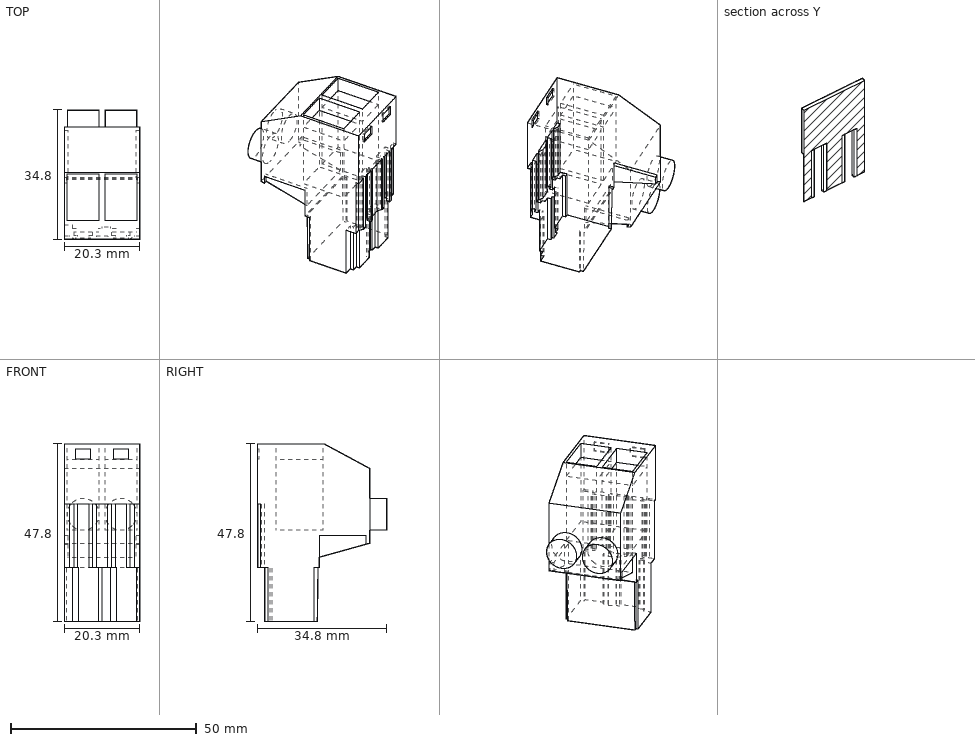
import cadquery as cq


width = 20.3
height = 47.8
poles = 2
pole_pitch = width / poles
pole_centers = [(i + 0.5) * pole_pitch for i in range(poles)]

body_depth = 30.25
roof_depth = 18.0
shoulder_z = 41.2
back_bottom_z = 21.1
neck_depth = 16.7
neck_slope_z = 17.3
plug_top_z = 14.55

side_recess_inset = 1.05
side_recess_top_z = 23.2
back_tab_y = 29.25

channel_top_z = 31.7
slot_half_width = 1.55
lip_half_width = 2.5
bevel_half_width = 3.65
bevel_low_y = 0.2
bevel_deep_y = 0.9
lip_thickness = 1.05
plug_face_y = 1.95

plug_base_ys = [3.85, 3.4]
plug_step_y = 2.9
plug_step_x = 2.25
plug_face_left_x = 3.82
plug_face_right_x = 9.23
plug_side_depth = 15.25
back_rib_inset = 0.6
back_rib_top_y = 16.35
back_rib_bottom_y = 16.15

pocket_width = 8.6
pocket_front_y = 5.05
pocket_back_y = 17.6
clamp_top_z = 43.65

window_width = 4.0
window_bottom_z = 43.8
window_top_z = 46.35
window_depth = 0.45

screw_diameter = 8.55
screw_length = 4.55
screw_z = 28.85
clamp_bottom_z = screw_z - screw_diameter / 2


def block(x0, x1, y0, y1, z0, z1):
    """Box between two opposite corners."""
    return cq.Workplane("XY").box(x1 - x0, y1 - y0, z1 - z0, centered=False).translate((x0, y0, z0))


def side_prism(points, x0, x1):
    """Outline given as (Y, Z) points, extruded along X."""
    return cq.Workplane("YZ", origin=(x0, 0, 0)).polyline(points).close().extrude(x1 - x0)


def upright_prism(points, z0, z1):
    """Outline given as (X, Y) points, extruded along Z."""
    return cq.Workplane("XY", origin=(0, 0, z0)).polyline(points).close().extrude(z1 - z0)


def pocket_space(center_x, z0, z1):
    """Length of the wire pocket of one pole between two heights."""
    half = pocket_width / 2
    return block(center_x - half, center_x + half, pocket_front_y, pocket_back_y, z0, z1)


def upper_body():
    profile = [
        (0, plug_top_z),
        (0, height),
        (roof_depth, height),
        (body_depth, shoulder_z),
        (body_depth, back_bottom_z),
        (neck_depth, neck_slope_z),
        (neck_depth, plug_top_z),
    ]
    body = side_prism(profile, 0, width)
    for x0 in (0, width - side_recess_inset):
        recess = block(
            x0, x0 + side_recess_inset, neck_depth, back_tab_y, plug_top_z, side_recess_top_z
        )
        body = body.cut(recess)
    return body


def cut_coding_channel(body, center_x):
    """Bevelled shoulders on both sides of a T-shaped slot."""
    z0 = plug_top_z
    z1 = channel_top_z
    for side in (-1, 1):
        shoulder = [
            (center_x + side * lip_half_width, 0),
            (center_x + side * lip_half_width, bevel_low_y),
            (center_x + side * bevel_half_width, bevel_deep_y),
            (center_x + side * pole_pitch / 2, bevel_deep_y),
            (center_x + side * pole_pitch / 2, 0),
        ]
        body = body.cut(upright_prism(shoulder, z0, z1))
    slot = block(center_x - slot_half_width, center_x + slot_half_width, 0, plug_face_y, z0, z1)
    undercut = block(
        center_x - lip_half_width, center_x + lip_half_width, lip_thickness, plug_face_y, z0, z1
    )
    return body.cut(slot).cut(undercut)


def plug_pole(left_x, base_y):
    """Part of the plug below one pole, with its stepped front."""
    outline = [
        (left_x, base_y),
        (left_x + plug_step_x, base_y),
        (left_x + plug_step_x, plug_step_y),
        (left_x + plug_face_left_x, plug_step_y),
        (left_x + plug_face_left_x, plug_face_y),
        (left_x + plug_face_right_x, plug_face_y),
        (left_x + plug_face_right_x, plug_step_y),
        (left_x + pole_pitch, plug_step_y),
        (left_x + pole_pitch, plug_side_depth),
        (left_x, plug_side_depth),
    ]
    return upright_prism(outline, 0, plug_top_z)


def plug_back_rib():
    """Raised back of the plug, slightly tapered towards the bottom."""
    profile = [
        (plug_side_depth, 0),
        (plug_side_depth, plug_top_z),
        (back_rib_top_y, plug_top_z),
        (back_rib_bottom_y, 0),
    ]
    return side_prism(profile, back_rib_inset, width - back_rib_inset)


def make_housing():
    housing = upper_body()
    for center_x in pole_centers:
        housing = cut_coding_channel(housing, center_x)
        housing = housing.cut(pocket_space(center_x, clamp_bottom_z, height))
        half = window_width / 2
        window = block(
            center_x - half, center_x + half, 0, window_depth, window_bottom_z, window_top_z
        )
        housing = housing.cut(window)
    for center_x, base_y in zip(pole_centers, plug_base_ys):
        housing = housing.union(plug_pole(center_x - pole_pitch / 2, base_y))
    return housing.union(plug_back_rib())


def make_clamp(center_x):
    """Clamp block that fills the lower part of a wire pocket."""
    return pocket_space(center_x, clamp_bottom_z, clamp_top_z)


def make_screw(center_x):
    back_face = cq.Workplane("XZ", origin=(center_x, body_depth, screw_z))
    return back_face.circle(screw_diameter / 2).extrude(-screw_length)


housing = make_housing()
clamps = [make_clamp(center_x) for center_x in pole_centers]
screws = [make_screw(center_x) for center_x in pole_centers]

result = cq.Compound.makeCompound(
    [housing.val(), *[clamp.val() for clamp in clamps], *[screw.val() for screw in screws]]
)